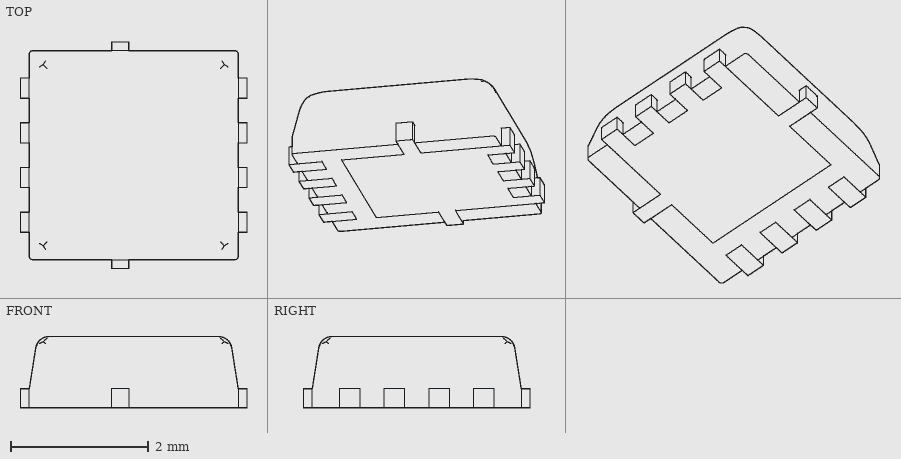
import cadquery as cq
import math


span = 3.3
height = 1.04
body_side = 3.043
frame_thickness = 0.28

draft_angle = 9.0
top_round = 0.198
corner_round_bottom = 0.05
corner_round_top = 0.198
blend_start_x = 1.035
blend_start_z = 0.705
blend_wall_x = 1.21
blend_wall_z = 0.83
blend_centre_xy = 1.317
blend_centre_z = 0.96

leads_per_side = 4
lead_width = 0.297
lead_pitch = 0.65
lead_length = 0.495
tie_bar_width = 0.25
tie_bar_x = -0.195
paddle_length = 2.112

body_half = body_side / 2
tip = span / 2
draft = math.radians(draft_angle)
first_lead_y = -(leads_per_side - 1) / 2 * lead_pitch
lead_rows = [first_lead_y + i * lead_pitch for i in range(leads_per_side)]
paddle_width = lead_rows[-1] - lead_rows[0] + lead_width
along_x = cq.Vector(1, 0, 0)
diagonal = cq.Vector(1, 1, 0)
diagonal_mirror = cq.Vector(1, -1, 0)
wall_normal = cq.Vector(0, math.cos(draft), math.sin(draft))


def wall_offset(z):
    """Distance of a cap wall from the Z axis at height z."""
    return body_half - (z - frame_thickness) * math.tan(draft)


def corner_radius(z):
    """Radius of the rounding between two cap walls at height z."""
    rise = (z - frame_thickness) / (height - frame_thickness)
    return corner_round_bottom + rise * (corner_round_top - corner_round_bottom)


def arc_from(point_at, end_angle, start_angle=0.0):
    """Arc through the points that point_at gives between two angles."""
    middle_angle = (start_angle + end_angle) / 2
    return cq.Edge.makeThreePointArc(point_at(start_angle), point_at(middle_angle), point_at(end_angle))


def corner_arc(reach, radius, z, end_angle=math.pi / 2):
    """Level arc rounding the +X +Y corner of a square of half side reach, starting on its +Y side."""
    centre = reach - radius

    def point_at(angle):
        return cq.Vector(centre + radius * math.sin(angle), centre + radius * math.cos(angle), z)

    return arc_from(point_at, end_angle)


def line_across(point):
    """Line along X from a point to its mirror image at -X."""
    return cq.Edge.makeLine(point, cq.Vector(-point.x, point.y, point.z))


def around(shapes):
    """Copies of the shapes on all four sides of the Z axis."""
    return [s.rotate(cq.Vector(), cq.Vector(0, 0, 1), turn) for turn in (0, 90, 180, 270) for s in shapes]


def flat_face(edges):
    return cq.Face.makeFromWires(cq.Wire.combine(edges)[0])


def make_cap():
    """Drafted cap with a filleted top; every corner is a blend of six patches around one point.

    The faces of the +Y wall and of the +X +Y corner are built first and then turned around Z.
    """
    tangent_arc = cq.Edge.makeTangentArc
    half_corner = math.pi / 4

    fillet_sweep = math.pi / 2 - draft
    top_reach = wall_offset(height) - top_round * math.tan(fillet_sweep / 2)

    def fillet_point(angle):
        y = top_reach + top_round * math.sin(angle)
        return cq.Vector(blend_start_x, y, height - top_round * (1 - math.cos(angle)))

    fillet_section = arc_from(fillet_point, fillet_sweep)
    fillet_upper = arc_from(fillet_point, fillet_sweep / 2)
    fillet_lower = arc_from(fillet_point, fillet_sweep, fillet_sweep / 2)
    fillet_top = fillet_section.startPoint()
    fillet_foot = fillet_section.endPoint()

    flat_radius = top_reach - blend_start_x
    flat_arc = corner_arc(top_reach, flat_radius, height)
    flat_half = corner_arc(top_reach, flat_radius, height, half_corner)

    foot_arc = corner_arc(body_half, corner_round_bottom, frame_thickness)
    neck_size = (wall_offset(blend_start_z), corner_radius(blend_start_z), blend_start_z)
    neck_arc = corner_arc(*neck_size)
    neck_half = corner_arc(*neck_size, half_corner)
    foot_start = foot_arc.startPoint()
    neck_start = neck_arc.startPoint()

    wall_middle = cq.Vector(blend_wall_x, wall_offset(blend_wall_z), blend_wall_z)
    wall_line = cq.Edge.makeLine(foot_start, neck_start)
    wall_lower = tangent_arc(neck_start, neck_start - foot_start, wall_middle)
    wall_upper = tangent_arc(fillet_foot, along_x, wall_middle)

    centre = cq.Vector(blend_centre_xy, blend_centre_xy, blend_centre_z)
    off_wall = wall_upper.tangentAt(1).cross(wall_normal)
    neck_rise = neck_half.endPoint() - foot_arc.positionAt(0.5)
    flat_seam = tangent_arc(flat_half.endPoint(), diagonal, centre)
    fillet_seam = tangent_arc(fillet_upper.endPoint(), along_x, centre)
    wall_seam = tangent_arc(wall_middle, off_wall, centre)
    neck_seam = tangent_arc(neck_half.endPoint(), neck_rise, centre)

    patch_outlines = [
        [flat_half, flat_seam, fillet_seam, fillet_upper],
        [fillet_lower, fillet_seam, wall_seam, wall_upper],
        [wall_lower, wall_seam, neck_seam, neck_half],
    ]
    patches = [cq.Face.makeNSidedSurface(outline, []) for outline in patch_outlines]
    patches += [patch.mirror(diagonal_mirror) for patch in patches]

    base_line = line_across(foot_start)
    wall_side = [wall_line, wall_lower, wall_upper]
    wall_other_side = [edge.mirror("YZ") for edge in wall_side]
    wall = flat_face(wall_side + wall_other_side + [base_line, line_across(fillet_foot)])
    fillet = cq.Face.makeRuledSurface(fillet_section, fillet_section.mirror("YZ"))
    corner = cq.Face.makeRuledSurface(foot_arc, neck_arc)

    top = flat_face(around([flat_arc, line_across(fillet_top)]))
    base = flat_face(around([foot_arc, base_line]))
    shell = cq.Shell.makeShell(around(patches + [wall, fillet, corner]) + [top, base])
    return cq.Workplane(cq.Solid.makeSolid(shell).fix())


def plate(x_start, x_end, width, y=0.0):
    """Flat strip of lead frame along X, resting on z = 0 and centred on y."""
    strip = cq.Workplane("XY").box(x_end - x_start, width, frame_thickness, centered=(False, True, False))
    return strip.translate((x_start, y, 0))


def make_lead(y):
    """Separate lead on the +X side."""
    return plate(tip - lead_length, tip, lead_width, y)


def make_drain_frame():
    """Paddle in one piece with the -X leads and the two tie bars."""
    frame = plate(tie_bar_x - paddle_length / 2, tie_bar_x + paddle_length / 2, paddle_width)
    frame = frame.union(plate(tie_bar_x - tie_bar_width / 2, tie_bar_x + tie_bar_width / 2, span))
    for y in lead_rows:
        frame = frame.union(plate(-tip, tie_bar_x, lead_width, y))
    return frame


def make_housing(embedded):
    """Vertical band and cap, with matching recesses for the embedded bodies."""
    band = cq.Workplane("XY").rect(body_side, body_side).extrude(frame_thickness)
    body = band.edges("|Z").fillet(corner_round_bottom).union(make_cap())
    for part in embedded:
        body = body.cut(part)
    return body.solids()


leads = [make_lead(y) for y in lead_rows]
drain_frame = make_drain_frame()
housing = make_housing([drain_frame, *leads])

result = cq.Compound.makeCompound([
    housing.val(),
    drain_frame.solids().val(),
    *[lead.val() for lead in leads],
])